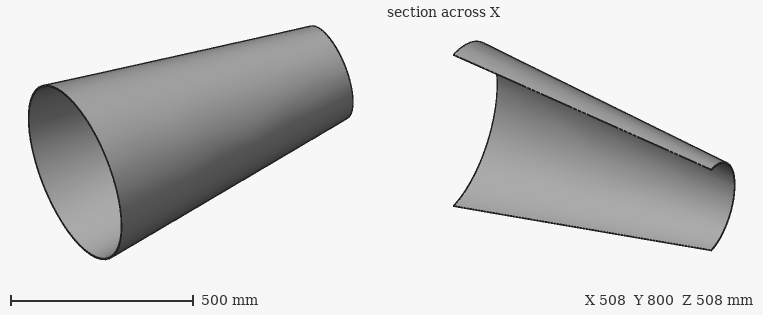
import cadquery as cq

length = 800.0
wide_diameter = 508.0
narrow_diameter = 273.0
wall = 4.0

wide_radius = wide_diameter / 2
narrow_radius = narrow_diameter / 2

wall_section = (
    cq.Workplane("XY")
    .moveTo(wide_radius - wall, 0)
    .lineTo(wide_radius, 0)
    .lineTo(narrow_radius, length)
    .lineTo(narrow_radius - wall, length)
    .close()
)

result = wall_section.revolve(360, (0, 0, 0), (0, 1, 0))